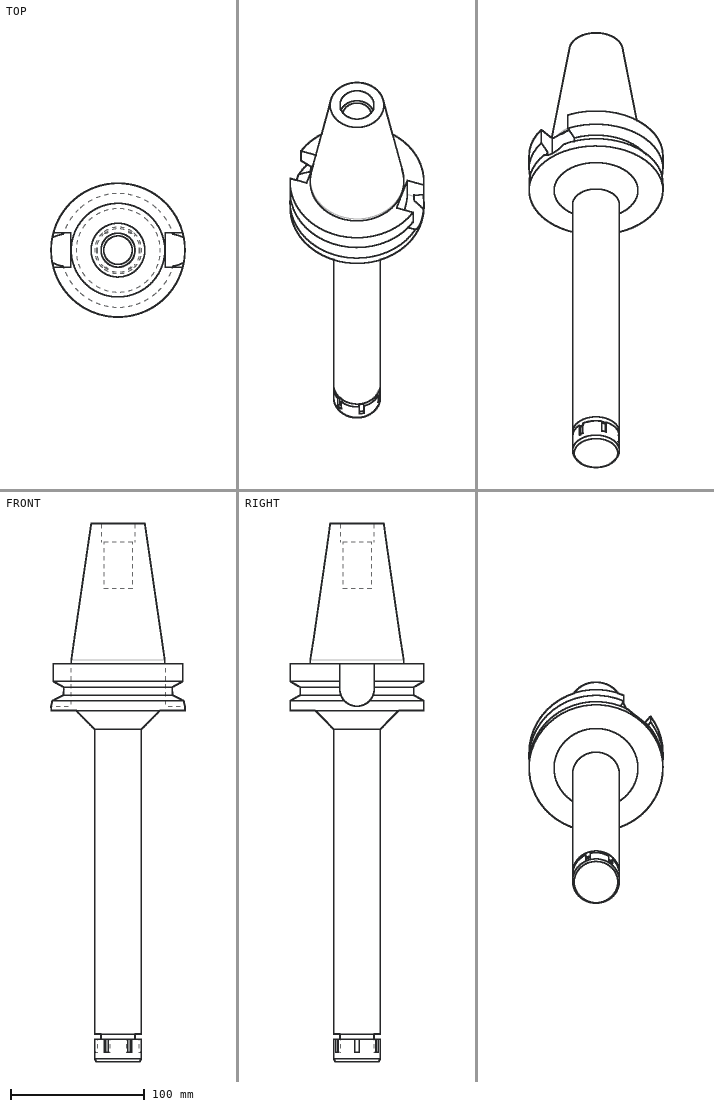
import cadquery as cq
import math

TOTAL_LENGTH = 402.0

TAPER_SMALL_RADIUS = 40.0 / 2
TAPER_LARGE_RADIUS = 70.0 / 2
TAPER_LENGTH = 101.5
COLLAR_LENGTH = 3.0

FLANGE_RADIUS = 100.0 / 2
FLANGE_THICKNESS = 35.0
GROOVE_RADIUS = 85.0 / 2
UPPER_RIM_THICKNESS = 13.3
LOWER_RIM_THICKNESS = 7.2
GROOVE_FLANK_ANGLE = 30.0

SLOT_WIDTH = 25.7
SLOT_DEPTH_ALONG_Z = 31.7
SLOT_FLOOR_X = 35.5

CONE_LARGE_RADIUS = 62.5 / 2
CONE_HEIGHT = 14.0
SHANK_RADIUS = 35.0 / 2
NOSE_RADIUS = 25.7 / 2
NOSE_LENGTH = 3.8

PILOT_RADIUS = 25.5 / 2
PILOT_DEPTH = 13.5
BORE_RADIUS = 21.3 / 2
BORE_DEPTH = 48.2

NUT_RADIUS = SHANK_RADIUS
NUT_HEIGHT = 17.0
NUT_CHAMFER_WIDTH = 1.2
NUT_CHAMFER_HEIGHT = 2.5
NUT_SLOT_COUNT = 6
NUT_SLOT_WIDTH = 3.5
NUT_SLOT_BOTTOM = 7.2
NUT_SLOT_DEPTH = 2.0

gauge_z = TOTAL_LENGTH - TAPER_LENGTH
flange_top_z = gauge_z - COLLAR_LENGTH
flange_bottom_z = flange_top_z - FLANGE_THICKNESS
cone_bottom_z = flange_bottom_z - CONE_HEIGHT
groove_flank_height = (FLANGE_RADIUS - GROOVE_RADIUS) * math.tan(math.radians(GROOVE_FLANK_ANGLE))
shank_bottom_z = NUT_HEIGHT + NOSE_LENGTH


def revolve_profile(points):
    """Revolve a closed (radius, height) outline about the Z axis."""
    return cq.Workplane("XZ").polyline(points).close().revolve(360, (0, 0), (0, 1))


def make_turned_holder():
    """Taper, grooved flange, cone, shank and nose as one turned shape."""
    upper_rim_bottom_z = flange_top_z - UPPER_RIM_THICKNESS
    lower_rim_top_z = flange_bottom_z + LOWER_RIM_THICKNESS
    return revolve_profile([
        (0, NUT_HEIGHT),
        (NOSE_RADIUS, NUT_HEIGHT),
        (NOSE_RADIUS, shank_bottom_z),
        (SHANK_RADIUS, shank_bottom_z),
        (SHANK_RADIUS, cone_bottom_z),
        (CONE_LARGE_RADIUS, flange_bottom_z),
        (FLANGE_RADIUS, flange_bottom_z),
        (FLANGE_RADIUS, lower_rim_top_z),
        (GROOVE_RADIUS, lower_rim_top_z + groove_flank_height),
        (GROOVE_RADIUS, upper_rim_bottom_z - groove_flank_height),
        (FLANGE_RADIUS, upper_rim_bottom_z),
        (FLANGE_RADIUS, flange_top_z),
        (TAPER_LARGE_RADIUS, flange_top_z),
        (TAPER_LARGE_RADIUS, gauge_z),
        (TAPER_SMALL_RADIUS, TOTAL_LENGTH),
        (0, TOTAL_LENGTH),
    ])


def make_drive_slot(side):
    """Cutter for a round-ended slot, open at the top, on the +X (side = 1) or -X (side = -1) rim."""
    half_width = SLOT_WIDTH / 2
    arc_center_z = flange_top_z - SLOT_DEPTH_ALONG_Z + half_width
    return (
        cq.Workplane("YZ", origin=(side * SLOT_FLOOR_X, 0, 0))
        .moveTo(-half_width, flange_top_z)
        .lineTo(-half_width, arc_center_z)
        .threePointArc((0, arc_center_z - half_width), (half_width, arc_center_z))
        .lineTo(half_width, flange_top_z)
        .close()
        .extrude(side * FLANGE_RADIUS)
    )


def make_stepped_bore():
    """Cutter for the blind bore with its wider pilot recess."""
    pilot_floor_z = TOTAL_LENGTH - PILOT_DEPTH
    bore_floor_z = TOTAL_LENGTH - BORE_DEPTH
    return revolve_profile([
        (0, bore_floor_z),
        (BORE_RADIUS, bore_floor_z),
        (BORE_RADIUS, pilot_floor_z),
        (PILOT_RADIUS, pilot_floor_z),
        (PILOT_RADIUS, TOTAL_LENGTH),
        (0, TOTAL_LENGTH),
    ])


def make_holder():
    """Tool holder with its bore and two opposite drive slots."""
    body = make_turned_holder().cut(make_stepped_bore())
    for side in (1, -1):
        body = body.cut(make_drive_slot(side))
    return body


def make_nut_slot():
    """Cutter for one wrench slot on the +X side, open at the top and at the outer surface."""
    return (
        cq.Workplane("XY")
        .box(NUT_RADIUS, NUT_SLOT_WIDTH, NUT_HEIGHT, centered=(False, True, False))
        .translate((NUT_RADIUS - NUT_SLOT_DEPTH, 0, NUT_SLOT_BOTTOM))
    )


def make_nut():
    """Chamfered disc that butts against the nose, with evenly spaced wrench slots."""
    body = revolve_profile([
        (0, 0),
        (NUT_RADIUS - NUT_CHAMFER_WIDTH, 0),
        (NUT_RADIUS, NUT_CHAMFER_HEIGHT),
        (NUT_RADIUS, NUT_HEIGHT),
        (0, NUT_HEIGHT),
    ])
    slot = make_nut_slot()
    for index in range(NUT_SLOT_COUNT):
        angle = 360 / NUT_SLOT_COUNT * index
        body = body.cut(slot.rotate((0, 0, 0), (0, 0, 1), angle))
    return body


holder = make_holder()
nut = make_nut()

result = cq.Compound.makeCompound([holder.val(), nut.val()])